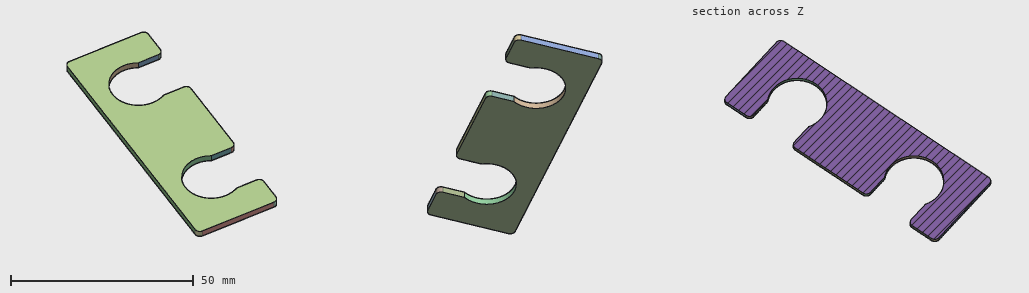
import cadquery as cq

length = 74.2
width = 25.4
thickness = 2.0
corner_radius = 1.5

notch_spacing = 40.65
bore_radius = 8.1
floor_width = 5.55
mouth_width = 14.1

bore_y = -width / 2 + floor_width + bore_radius
mouth_depth = width / 2 - bore_y


def notch(x):
    """Round bore with a narrower straight mouth reaching the +Y edge."""
    bore = cq.Workplane("XY").center(x, bore_y).circle(bore_radius).extrude(thickness)
    mouth = (
        cq.Workplane("XY")
        .center(x, bore_y + mouth_depth / 2)
        .rect(mouth_width, mouth_depth)
        .extrude(thickness)
    )
    return bore.union(mouth)


plate = cq.Workplane("XY").rect(length, width).extrude(thickness)
for side in (-1, 1):
    plate = plate.cut(notch(side * notch_spacing / 2))

plate = plate.faces("<Y").edges("|Z").fillet(corner_radius)
result = plate.faces(">Y").edges("|Z").fillet(corner_radius)